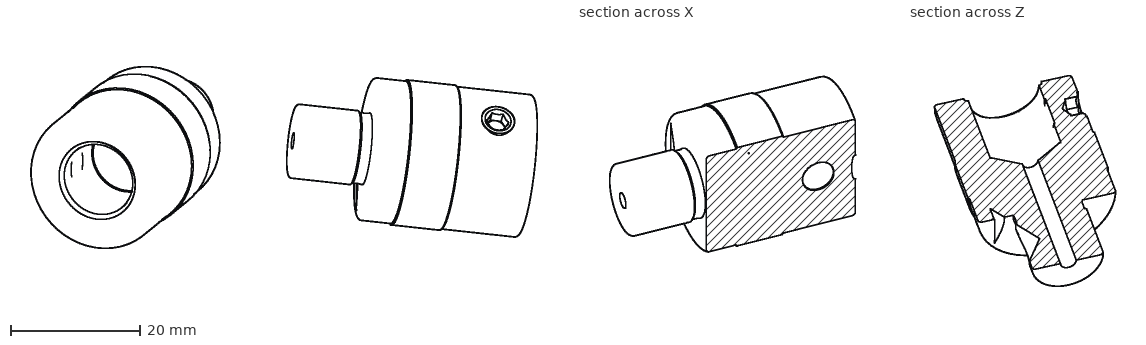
import cadquery as cq
import math

total_length = 36.5
body_length = 25.0
body_radius = 11.1
body_fillet = 0.55

collar_diameter = 22.6
collar_radius = collar_diameter / 2
collar_front = 12.05
collar_back = 19.95
collar_chamfer = collar_radius - body_radius

shank_radius = 5.75
shank_fillet = 0.47
neck_radius = 5.48
neck_end = 26.6
neck_flare_length = 0.47
neck_flare = 0.1
neck_step = shank_radius - neck_radius

bore_radius = 5.65
bore_fillet = 0.62
bore_depth = 12.78
cone_mouth_radius = 5.45
cone_angle = 118.0
through_radius = 1.25

dimple_y = 30.65
dimple_radius = 3.98
dimple_angle = 110.0

screw_y = 6.25
screw_hole_radius = 2.6
screw_radius = 2.77
screw_chamfer = 0.22
screw_face = 10.95
screw_length = 5.1
socket_mouth_radius = 2.05
socket_flats = 3.0
socket_depth = 2.2
socket_corner_radius = socket_flats / math.sqrt(3)
socket_lead_depth = socket_mouth_radius - socket_flats / 2


def revolve_about_y(profile):
    return profile.close().revolve(360, (0, 0, 0), (0, 1, 0))


def make_outer():
    profile = (
        cq.Workplane("XY")
        .lineTo(body_radius - body_fillet, 0)
        .radiusArc((body_radius, body_fillet), -body_fillet)
        .lineTo(body_radius, collar_front)
        .lineTo(collar_radius, collar_front + collar_chamfer)
        .lineTo(collar_radius, collar_back - collar_chamfer)
        .lineTo(body_radius, collar_back)
        .lineTo(body_radius, body_length - body_fillet)
        .radiusArc((body_radius - body_fillet, body_length), -body_fillet)
        .lineTo(neck_radius + neck_flare, body_length)
        .lineTo(neck_radius, body_length + neck_flare_length)
        .lineTo(neck_radius, neck_end)
        .lineTo(shank_radius, neck_end + neck_step)
        .lineTo(shank_radius, total_length - shank_fillet)
        .radiusArc((shank_radius - shank_fillet, total_length), -shank_fillet)
        .lineTo(0, total_length)
    )
    return revolve_about_y(profile)


def make_bore():
    cone_depth = (cone_mouth_radius - through_radius) / math.tan(math.radians(cone_angle / 2))
    profile = (
        cq.Workplane("XY")
        .lineTo(bore_radius + bore_fillet, 0)
        .radiusArc((bore_radius, bore_fillet), -bore_fillet)
        .lineTo(bore_radius, bore_depth)
        .lineTo(cone_mouth_radius, bore_depth)
        .lineTo(through_radius, bore_depth + cone_depth)
        .lineTo(through_radius, total_length)
        .lineTo(0, total_length)
    )
    return revolve_about_y(profile)


def make_dimple():
    dimple_depth = dimple_radius / math.tan(math.radians(dimple_angle / 2))
    base = cq.Vector(shank_radius + dimple_depth, dimple_y, 0)
    return cq.Solid.makeCone(2 * dimple_radius, 0, 2 * dimple_depth, base, cq.Vector(-1, 0, 0))


def make_screw():
    face = cq.Workplane("YZ", origin=(-screw_face, screw_y, 0))
    screw = face.circle(screw_radius).extrude(screw_length).faces("<X").chamfer(screw_chamfer)
    hexagon = face.polygon(6, 2 * socket_corner_radius).extrude(socket_depth)
    inward = cq.Vector(1, 0, 0)
    lead_in = cq.Solid.makeCone(
        socket_mouth_radius,
        socket_flats / 2,
        socket_lead_depth,
        cq.Vector(-screw_face, screw_y, 0),
        inward,
    )
    drill_point = cq.Solid.makeCone(
        socket_flats / 2,
        0,
        socket_flats / 2 / math.tan(math.radians(cone_angle / 2)),
        cq.Vector(-screw_face + socket_depth, screw_y, 0),
        inward,
    )
    return screw.cut(hexagon).cut(lead_in).cut(drill_point)


def make_screw_hole():
    wall = body_radius - bore_radius
    hole = cq.Workplane("YZ", origin=(-body_radius, screw_y, 0))
    return hole.circle(screw_hole_radius).extrude(wall)


body = make_outer().cut(make_bore()).cut(make_dimple())

result = body.cut(make_screw_hole()).union(make_screw())
result = result.translate((0, -total_length / 2, 0))